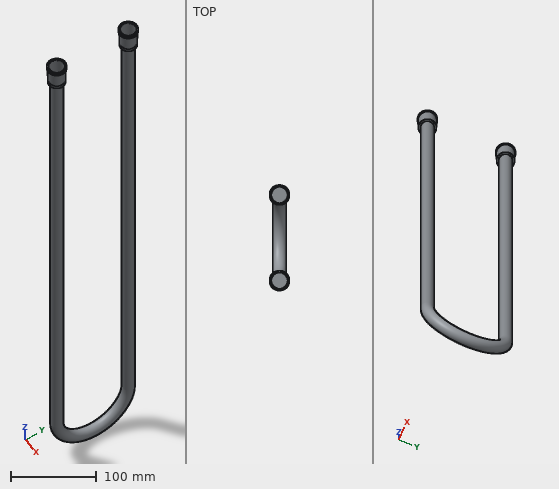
import cadquery as cq

total_height = 729.0
leg_spacing = 100.0
rod_diameter = 16.0

rim_diameter = 23.0
rim_thickness = 3.0
cap_top_diameter = 22.0
cap_bottom_diameter = 21.0
cap_height = 28.5
bore_diameter = 19.0
cap_floor = 3.0

bend_radius = leg_spacing / 2
bend_center_z = bend_radius + rod_diameter / 2
cap_bottom_z = total_height - cap_height


def make_rod():
    """U-shaped round rod: two straight legs joined by a half-circle bend."""
    path = (
        cq.Workplane("YZ")
        .moveTo(-bend_radius, cap_bottom_z)
        .lineTo(-bend_radius, bend_center_z)
        .threePointArc((0, bend_center_z - bend_radius), (bend_radius, bend_center_z))
        .lineTo(bend_radius, cap_bottom_z)
    )
    return (
        cq.Workplane("XY", origin=(0, -bend_radius, cap_bottom_z))
        .circle(rod_diameter / 2)
        .sweep(path)
    )


def make_cap(y):
    """Open-topped cup whose axis stands on the leg at the given Y."""
    bore_radius = bore_diameter / 2
    rim_bottom_z = cap_height - rim_thickness
    return (
        cq.Workplane("XZ")
        .polyline([
            (0, 0),
            (cap_bottom_diameter / 2, 0),
            (cap_top_diameter / 2, rim_bottom_z),
            (rim_diameter / 2, rim_bottom_z),
            (rim_diameter / 2, cap_height),
            (bore_radius, cap_height),
            (bore_radius, cap_floor),
            (0, cap_floor),
        ])
        .close()
        .revolve(360, (0, 0), (0, 1))
        .translate((0, y, cap_bottom_z))
    )


result = make_rod()
for leg_y in (-bend_radius, bend_radius):
    result = result.union(make_cap(leg_y))